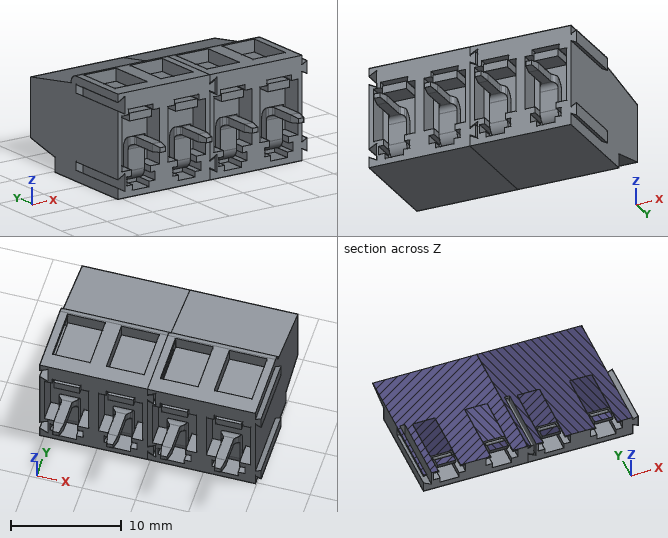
import cadquery as cq


pitch = 5.08
poles_per_housing = 2
housing_count = 2
housing_length = pitch * poles_per_housing
pole_count = poles_per_housing * housing_count

housing_height = 10.0
housing_depth = 13.8
back_bottom_z = 2.28
back_top_z = 8.05
foot_depth = 9.94
foot_top_z = 1.43
shoulder_y = 7.38
shoulder_z = 9.16
shoulder_radius = 0.8

dovetail_heights = (1.46, 8.79)
groove_mouth = 0.8
groove_base = 1.66
groove_depth = 0.78
groove_length = 6.64
rail_mouth = 0.66
rail_base = 1.24
rail_depth = 0.55
rail_length = 6.45

pocket_width = 3.56
pocket_front_y = 1.55
pocket_back_y = 6.44
pocket_depth = 1.23

floor_slot_step = (1.84, 0.59, 1.11)
cross_slot_step = (3.1, 1.11, 1.94)
neck_step = (2.1, 1.94, 2.54)
window_step = (4.16, 2.54, 7.82)
notch_step = (2.7, 7.82, 8.35)
cavity_steps = (floor_slot_step, cross_slot_step, neck_step, window_step, notch_step)

clamp_front_y = 2.0
clamp_back_y = pocket_back_y
tab_width = 2.42
tab_bottom_z = 7.2
tab_top_z = 7.95
tab_front_y = 0.04

pin_thickness = 0.75
pin_top_z = 5.56
pin_width = 0.96
strip_width = 1.8
pin_reach = 3.5
tip_length = 1.0
tip_width = 0.6
tip_thickness = 0.45
strip_front_y = 0.7
upper_inner_radius = 0.53
lower_outer_radius = 1.1
pin_foot_z = cross_slot_step[1]
pin_shoulder_front_y = 0.1
pin_shoulder_length = 0.5
pin_shoulder_fillet = 0.35


def pole_x(index):
    """Centre of a pole along the row."""
    return pitch * (index + 0.5)


def dovetail(x, z, mouth, base, depth, length):
    """Prism widening towards +X, running back from the front face."""
    outline = [
        (x, z - mouth / 2),
        (x + depth, z - base / 2),
        (x + depth, z + base / 2),
        (x, z + mouth / 2),
    ]
    return cq.Workplane("XZ").polyline(outline).close().extrude(-length)


def stepped_block(x, front_y, back_y):
    """Block with the stepped cross-section of the front cavity."""
    block = cq.Workplane("XY")
    for width, bottom_z, top_z in cavity_steps:
        step = cq.Workplane("XY").box(
            width, back_y - front_y, top_z - bottom_z, centered=(True, False, False)
        )
        block = block.union(step.translate((x, front_y, bottom_z)))
    return block


def make_housing(index):
    start_x = index * housing_length
    housing = (
        cq.Workplane("YZ", origin=(start_x, 0, 0))
        .moveTo(0, 0)
        .lineTo(foot_depth, 0)
        .lineTo(foot_depth, foot_top_z)
        .lineTo(housing_depth, back_bottom_z)
        .lineTo(housing_depth, back_top_z)
        .lineTo(shoulder_y, shoulder_z)
        .lineTo(shoulder_y, housing_height - shoulder_radius)
        .radiusArc((shoulder_y - shoulder_radius, housing_height), -shoulder_radius)
        .lineTo(0, housing_height)
        .close()
        .extrude(housing_length)
    )
    for pole in range(index * poles_per_housing, (index + 1) * poles_per_housing):
        housing = housing.cut(stepped_block(pole_x(pole), 0, clamp_back_y))
        pocket = cq.Workplane("XY").box(
            pocket_width, pocket_back_y - pocket_front_y, pocket_depth, centered=(True, False, False)
        )
        housing = housing.cut(pocket.translate((pole_x(pole), pocket_front_y, housing_height - pocket_depth)))
    for z in dovetail_heights:
        end_x = start_x + housing_length
        housing = housing.cut(dovetail(start_x, z, groove_mouth, groove_base, groove_depth, groove_length))
        housing = housing.union(dovetail(end_x, z, rail_mouth, rail_base, rail_depth, rail_length))
    return housing


def make_clamp(index):
    tab = cq.Workplane("XY").box(
        tab_width, clamp_back_y - tab_front_y, tab_top_z - tab_bottom_z, centered=(True, False, False)
    )
    block = stepped_block(pole_x(index), clamp_front_y, clamp_back_y)
    return block.union(tab.translate((pole_x(index), tab_front_y, tab_bottom_z)))


def make_pin(index):
    upper_outer_radius = upper_inner_radius + pin_thickness
    lower_inner_radius = lower_outer_radius - pin_thickness
    pin_bottom_z = pin_top_z - pin_thickness
    strip_back_y = strip_front_y + pin_thickness
    bend_y = strip_front_y - upper_inner_radius
    foot_top_bend_z = pin_foot_z + pin_thickness
    tip_inset = (pin_thickness - tip_thickness) / 2
    side = (
        cq.Workplane("YZ")
        .moveTo(-pin_reach, pin_bottom_z + tip_inset)
        .lineTo(-pin_reach + tip_length, pin_bottom_z)
        .lineTo(bend_y, pin_bottom_z)
        .radiusArc((strip_front_y, pin_bottom_z - upper_inner_radius), upper_inner_radius)
        .lineTo(strip_front_y, pin_foot_z + lower_outer_radius)
        .radiusArc((strip_front_y + lower_outer_radius, pin_foot_z), -lower_outer_radius)
        .lineTo(clamp_front_y, pin_foot_z)
        .lineTo(clamp_front_y, foot_top_bend_z)
        .lineTo(strip_back_y + lower_inner_radius, foot_top_bend_z)
        .radiusArc((strip_back_y, foot_top_bend_z + lower_inner_radius), lower_inner_radius)
        .lineTo(strip_back_y, pin_top_z - upper_outer_radius)
        .radiusArc((bend_y, pin_top_z), -upper_outer_radius)
        .lineTo(-pin_reach + tip_length, pin_top_z)
        .lineTo(-pin_reach, pin_top_z - tip_inset)
        .close()
        .extrude(strip_width / 2, both=True)
    )

    half_outline = [
        (tip_width / 2, -pin_reach),
        (pin_width / 2, -pin_reach + tip_length),
        (pin_width / 2, pin_shoulder_front_y),
        (strip_width / 2, pin_shoulder_front_y + pin_shoulder_length),
        (strip_width / 2, clamp_front_y),
    ]
    mirrored_outline = [(-x, y) for x, y in reversed(half_outline)]
    plan = cq.Workplane("XY").polyline(half_outline + mirrored_outline).close().extrude(housing_height)
    shoulder_edges = cq.selectors.BoxSelector(
        (-strip_width, pin_shoulder_front_y - pin_shoulder_length, 0),
        (strip_width, pin_shoulder_front_y + 2 * pin_shoulder_length, housing_height),
    )
    plan = plan.edges("|Z").edges(shoulder_edges).fillet(pin_shoulder_fillet)
    return side.intersect(plan).translate((pole_x(index), 0, 0))


housings = [make_housing(index) for index in range(housing_count)]
clamps = [make_clamp(index) for index in range(pole_count)]
pins = [make_pin(index) for index in range(pole_count)]

result = cq.Compound.makeCompound([body.val() for body in housings + clamps + pins])